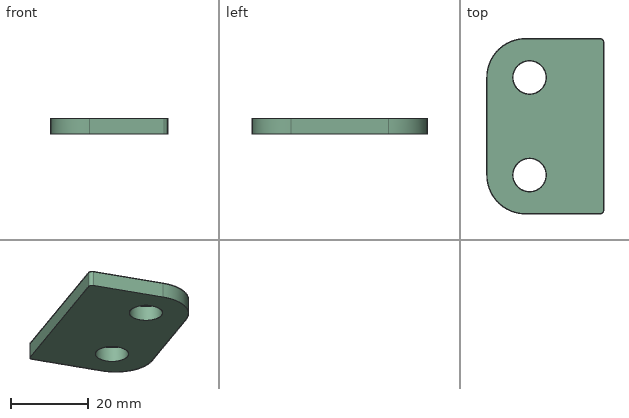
import cadquery as cq

width = 30.0
length = 45.0
thickness = 4.0
large_corner_radius = 10.0
small_corner_radius = 1.0

hole_diameter = 8.5
hole_from_left_edge = 11.0
hole_x = hole_from_left_edge - width / 2
hole_y = length / 2 - large_corner_radius

plate = cq.Workplane("XY").box(width, length, thickness)
plate = plate.edges("|Z and <X").fillet(large_corner_radius)
plate = plate.edges("|Z and >X").fillet(small_corner_radius)

result = (
    plate.faces(">Z")
    .workplane(origin=(0, 0, 0))
    .pushPoints([(hole_x, -hole_y), (hole_x, hole_y)])
    .hole(hole_diameter)
)